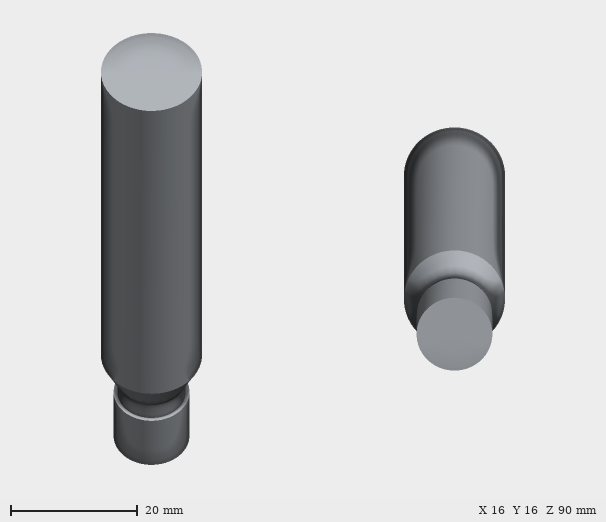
import cadquery as cq

total_length = 90.0
shank_diameter = 16.0
neck_diameter = 10.8
tip_diameter = 12.0

tip_length = 10.9
neck_length = 3.2
shank_length = 70.0

neck_top = tip_length + neck_length
shank_bottom = total_length - shank_length

shank_radius = shank_diameter / 2
neck_radius = neck_diameter / 2
tip_radius = tip_diameter / 2

half_profile = (
    cq.Workplane("XZ")
    .moveTo(0, 0)
    .lineTo(tip_radius, 0)
    .lineTo(tip_radius, tip_length)
    .lineTo(neck_radius, tip_length)
    .lineTo(neck_radius, neck_top)
    .lineTo(shank_radius, shank_bottom)
    .lineTo(shank_radius, total_length)
    .lineTo(0, total_length)
    .close()
)

result = half_profile.revolve(360, (0, 0, 0), (0, 1, 0))